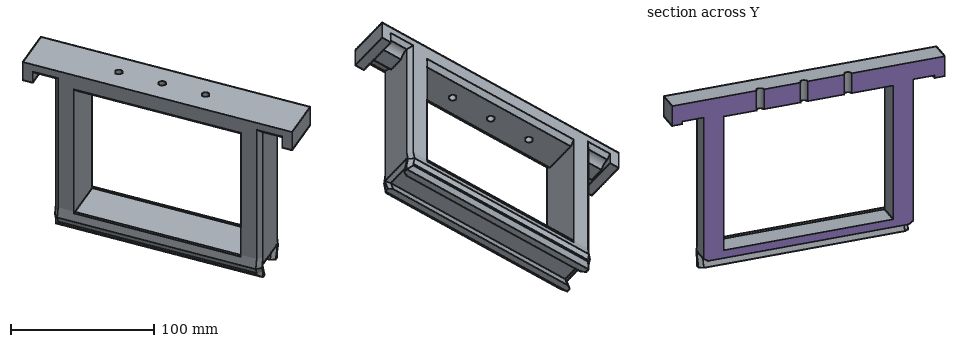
import cadquery as cq
import math

length = 204.8
width = 32.0
height = 136.2
edge_chamfer = 3.3
half_width = width / 2

arm_edge_depth = 6.1
lip_depth = 16.0
lip_thickness = 7.5
cove_radius = 7.4
cove_sag = 4.5

frame_length = 157.5
window_length = 127.0
window_top = -lip_depth
window_chamfer = 3.7

clip_half_width = 17.5
clip_top = -119.0
clip_widest = -126.7
clip_neck = -131.2
floor_recess = 1.6

channel_roof = -127.1
channel_roof_half_width = 10.6
channel_mouth_half_width = 7.8
channel_bevel_length = 3.3
channel_bevel_rise = 2.3
channel_bevel_offset = 1.8

hole_diameter = 5.3
hole_spacing = 33.0
hole_row_offset = -3.3


def mirrored(half_outline):
    """Complete a (y, z) half outline with its mirror image across Y = 0."""
    return half_outline + [(-y, z) for y, z in reversed(half_outline)]


def bar_along_x(outline, bar_length):
    """Extrude a closed (y, z) outline along X, centred on X = 0."""
    return cq.Workplane("YZ").polyline(outline).close().extrude(bar_length / 2, both=True)


def make_top_bar():
    """Bar with bevelled lower edges and a keel blended in by concave coves."""
    bevel_y = half_width - edge_chamfer
    bevel_z = -arm_edge_depth - edge_chamfer
    sweep = math.acos(1 - cove_sag / cove_radius)
    keel_y = bevel_y - cove_radius * math.sin(sweep)
    keel_z = bevel_z - cove_sag
    mid_y = bevel_y - cove_radius * math.sin(sweep / 2)
    mid_z = bevel_z - cove_radius * (1 - math.cos(sweep / 2))
    bar = (
        cq.Workplane("YZ")
        .moveTo(-half_width, 0)
        .lineTo(half_width, 0)
        .lineTo(half_width, -arm_edge_depth)
        .lineTo(bevel_y, bevel_z)
        .threePointArc((mid_y, mid_z), (keel_y, keel_z))
        .lineTo(-keel_y, keel_z)
        .threePointArc((-mid_y, mid_z), (-bevel_y, bevel_z))
        .lineTo(-half_width, -arm_edge_depth)
        .close()
        .extrude(length / 2, both=True)
    )
    for side in (-1, 1):
        lip = cq.Workplane("XY").box(lip_thickness, width, lip_depth, centered=(True, True, False))
        bar = bar.union(lip.translate((side * (length - lip_thickness) / 2, 0, -lip_depth)))
    return bar


def plan_section(z, half_depth):
    """Horizontal wire at height z: a rectangle with bevelled corners."""
    x = frame_length / 2
    corner_x = x - edge_chamfer
    corner_y = half_depth - edge_chamfer
    quarter = [(x, corner_y), (corner_x, half_depth)]
    half = quarter + [(-px, py) for px, py in reversed(quarter)]
    outline = half + [(-px, -py) for px, py in half]
    return cq.Wire.makePolygon([cq.Vector(px, py, z) for px, py in outline], close=True)


def make_frame_block():
    """Solid frame block flaring into the clip, with bevelled corners and foot."""
    sections = [
        plan_section(0, half_width),
        plan_section(clip_top, half_width),
        plan_section(clip_widest, clip_half_width),
        plan_section(clip_neck, half_width),
        plan_section(-height, half_width),
    ]
    block = cq.Workplane(cq.Solid.makeLoft(sections, True))
    foot_y = half_width - edge_chamfer
    for side in (-1, 1):
        foot_bevel = [
            (side * foot_y, -height),
            (side * half_width, -height),
            (side * half_width, -height + edge_chamfer),
        ]
        block = block.cut(bar_along_x(foot_bevel, frame_length))
    return block


def make_window():
    """Through window with a bevelled head and a floor sunk between the flared clip walls."""
    head_y = half_width - window_chamfer
    outline = mirrored([
        (head_y, window_top),
        (half_width, window_top + window_chamfer),
        (half_width, clip_top - floor_recess),
    ])
    return bar_along_x(outline, window_length)


def channel_section(x, roof_rise, wall_offset):
    """Dovetail wire at x, with the roof raised and the walls moved outward."""
    wall_slope = (channel_roof_half_width - channel_mouth_half_width) / (channel_roof + height)
    roof_y = channel_roof_half_width + wall_offset + wall_slope * roof_rise
    outline = mirrored([
        (roof_y, channel_roof + roof_rise),
        (channel_mouth_half_width + wall_offset, -height),
    ])
    return cq.Wire.makePolygon([cq.Vector(x, y, z) for y, z in outline], close=True)


def make_channel():
    """Dovetail channel along X, widened by a bevel at both ends."""
    end_x = frame_length / 2
    bevel_start = end_x - channel_bevel_length
    sections = [
        channel_section(-end_x, channel_bevel_rise, channel_bevel_offset),
        channel_section(-bevel_start, 0, 0),
        channel_section(bevel_start, 0, 0),
        channel_section(end_x, channel_bevel_rise, channel_bevel_offset),
    ]
    return cq.Workplane(cq.Solid.makeLoft(sections, True))


def make_holes():
    """Three vertical holes from the top face into the window."""
    centres = [(hole_row_offset + step * hole_spacing, 0) for step in (-1, 0, 1)]
    return cq.Workplane("XY").pushPoints(centres).circle(hole_diameter / 2).extrude(-lip_depth)


result = (
    make_top_bar()
    .union(make_frame_block())
    .cut(make_window())
    .cut(make_channel())
    .cut(make_holes())
)